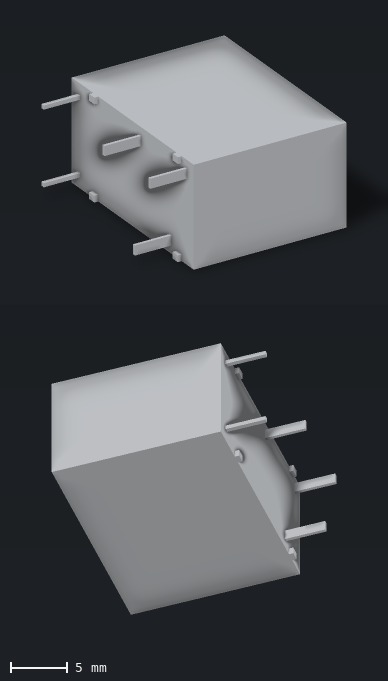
import cadquery as cq

case_length = 20.3
case_height = 10.3
overall_depth = 19.6
pin_length = 3.8
case_depth = overall_depth - pin_length

pin_pitch = 2.54
row_z = 1.5 * pin_pitch
coil_x = -3.5 * pin_pitch
coil_pin_side = 0.4
blade_thickness = 0.3
blade_width = 1.0
contact_positions = [
    (0.5 * pin_pitch, row_z),
    (2.5 * pin_pitch, -row_z),
    (3.5 * pin_pitch, row_z),
]

foot_length = 0.85
foot_height = 0.67
foot_projection = 0.4
foot_spacing = 13.89
feet_center_x = 0.8


def terminal_block(x, z, size_x, size_z, projection):
    """Rectangular bar from the terminal face toward -Y, centred at (x, z)."""
    bar = cq.Workplane("XY").box(size_x, projection, size_z)
    return bar.translate((x, -projection / 2, z))


result = cq.Workplane("XY").box(case_length, case_depth, case_height).translate((0, case_depth / 2, 0))

for z in (-row_z, row_z):
    result = result.union(terminal_block(coil_x, z, coil_pin_side, coil_pin_side, pin_length))

for x, z in contact_positions:
    result = result.union(terminal_block(x, z, blade_thickness, blade_width, pin_length))

foot_z = (case_height - foot_height) / 2
for x in (feet_center_x - foot_spacing / 2, feet_center_x + foot_spacing / 2):
    for z in (-foot_z, foot_z):
        result = result.union(terminal_block(x, z, foot_length, foot_height, foot_projection))